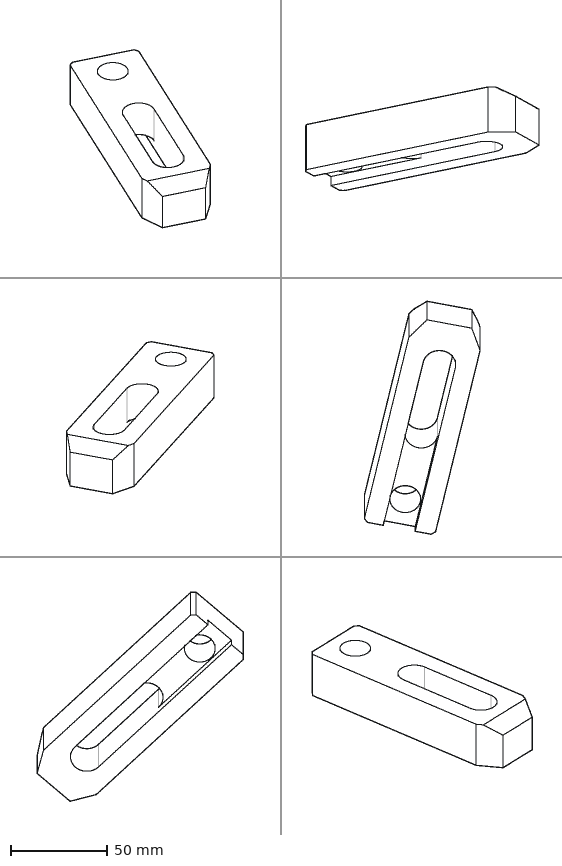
import cadquery as cq
import math

length = 125.0
width = 38.0
height = 25.0

tail_chamfer = 2.0
nose_angle = math.radians(30)
nose_taper_length = 12.2
nose_taper_depth = nose_taper_length * math.tan(nose_angle)
nose_bevel_length = 9.0
nose_bevel_drop = nose_bevel_length * math.tan(nose_angle)

hole_diameter = 16.0
hole_x = 15.0

slot_width = 17.0
slot_start = 46.5
slot_end = 108.5
slot_length = slot_end - slot_start
slot_center_x = (slot_start + slot_end) / 2

groove_depth = 5.0
groove_length = slot_center_x


def bar_body():
    """Bar with a chamfered tail and a nose tapered on both sides."""
    half_width = width / 2
    nose_half_width = half_width - nose_taper_depth
    taper_start = length - nose_taper_length
    return (
        cq.Workplane("XY")
        .moveTo(0, half_width - tail_chamfer)
        .lineTo(tail_chamfer, half_width)
        .lineTo(taper_start, half_width)
        .lineTo(length, nose_half_width)
        .lineTo(length, -nose_half_width)
        .lineTo(taper_start, -half_width)
        .lineTo(tail_chamfer, -half_width)
        .lineTo(0, -half_width + tail_chamfer)
        .close()
        .extrude(height)
    )


def nose_bevel():
    """Wedge removed from the top of the nose."""
    return (
        cq.Workplane("XZ")
        .moveTo(length - nose_bevel_length, height)
        .lineTo(length, height)
        .lineTo(length, height - nose_bevel_drop)
        .close()
        .extrude(width / 2, both=True)
    )


def round_hole():
    return cq.Workplane("XY").center(hole_x, 0).circle(hole_diameter / 2).extrude(height)


def clamping_slot():
    return cq.Workplane("XY").center(slot_center_x, 0).slot2D(slot_length, slot_width).extrude(height)


def base_groove():
    """Channel along the underside, from the tail into the slot."""
    return cq.Workplane("XY").box(groove_length, slot_width, groove_depth, centered=(False, True, False))


result = (
    bar_body()
    .cut(nose_bevel())
    .cut(round_hole())
    .cut(clamping_slot())
    .cut(base_groove())
)